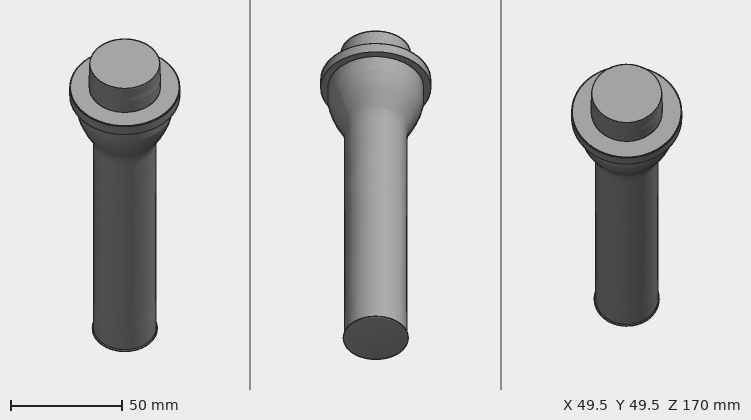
import cadquery as cq

lens_height = 2.0
bead_bottom = 1.0
lower_band_bottom = 14.6
lower_band_top = 17.7
grip_top = 72.0
neck_bottom = 115.1
neck_top = 120.2
flare_top = 141.8
flange_bottom = 149.8
flange_thickness = 5.3
cap_step_bottom = 161.8
cap_step_top = 164.0
total_height = 170.0

neck_radius = 28.2 / 2
grip_radius = 28.0 / 2
cap_radius = 31.6 / 2
cap_base_radius = 32.0 / 2
collar_radius = 43.0 / 2
flange_radius = 49.5 / 2

flange_chamfer = 0.3
cap_bevel_width = 0.2
cap_bevel_height = 1.0
bead_bulge = 0.5

flare_points = [(14.8, 124.5), (17.7, 130.0), (20.0, 136.0)]
flare_lower_tangent = (0, 1)
flare_upper_tangent = (0.15, 1)


def make_housing():
    """Solid turned body: grip, neck, flared head, flange and stepped cap."""
    flange_top = flange_bottom + flange_thickness
    profile = (
        cq.Workplane("XZ")
        .moveTo(0, lens_height)
        .lineTo(neck_radius, lens_height)
        .lineTo(neck_radius, lower_band_bottom)
        .lineTo(grip_radius, lower_band_top)
        .lineTo(grip_radius, grip_top)
        .lineTo(neck_radius, neck_bottom)
        .lineTo(neck_radius, neck_top)
        .spline(
            flare_points + [(collar_radius, flare_top)],
            tangents=[flare_lower_tangent, flare_upper_tangent],
            includeCurrent=True,
        )
        .lineTo(collar_radius, flange_bottom)
        .lineTo(flange_radius, flange_bottom)
        .lineTo(flange_radius, flange_top - flange_chamfer)
        .lineTo(flange_radius - flange_chamfer, flange_top)
        .lineTo(cap_base_radius, flange_top)
        .lineTo(cap_base_radius, cap_step_bottom)
        .lineTo(cap_radius, cap_step_top)
        .lineTo(cap_radius, total_height - cap_bevel_height)
        .lineTo(cap_radius - cap_bevel_width, total_height)
        .lineTo(0, total_height)
        .close()
    )
    return profile.revolve(360, (0, 0), (0, 1))


def dome_radius():
    """Radius of the sphere through the crown and the lower edge of the bead."""
    return (neck_radius**2 + bead_bottom**2) / (2 * bead_bottom)


def make_lens():
    """Lens on the end of the grip: rounded bead at the rim, shallow dome below."""
    bead_middle = (lens_height + bead_bottom) / 2
    profile = (
        cq.Workplane("XZ")
        .moveTo(0, lens_height)
        .lineTo(neck_radius, lens_height)
        .threePointArc((neck_radius + bead_bulge, bead_middle), (neck_radius, bead_bottom))
        .radiusArc((0, 0), dome_radius())
        .close()
    )
    return profile.revolve(360, (0, 0), (0, 1))


housing = make_housing()
lens = make_lens()

result = cq.Compound.makeCompound([housing.val(), lens.val()])